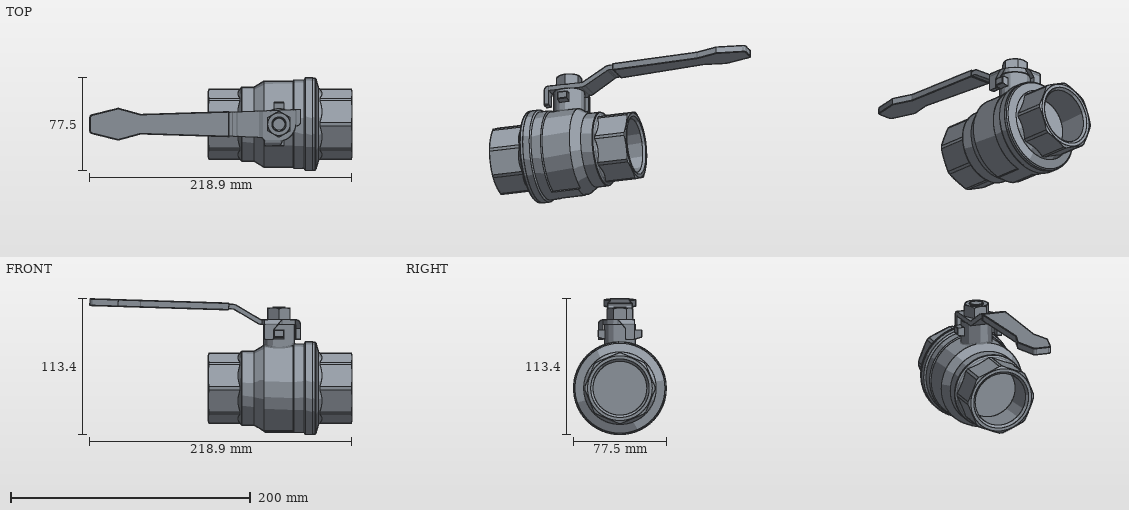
import cadquery as cq
import math


BODY_LEFT = -59.1
BODY_RIGHT = 61.1
COLLAR_DIA = 62.0
BARREL_DIA = 72.0
BAND_DIA = 74.0
RIM_DIA = 77.0
FLANGE_DIA = 77.5

COLLAR_ROOT = -32.4
COLLAR_START = -30.6
CONE_START = -20.6
BARREL_START = -12.5
BAND_START = 12.6
FLANGE_START = 22.0
RIM_START = 27.8
RIM_END = 30.0
SHOULDER_END = 33.1
STEP_CHAMFER = 1.0

COLLAR_EDGE_LENGTH = 0.7
COLLAR_EDGE_RISE = 0.3

OCTAGON_SIDES = 8
OCTAGON_FLATS = 55.0
OCTAGON_CORNER_DIA = 58.5
OCTAGON_END_CHAMFER = 0.8
OCTAGON_FACE_DIA = 54.0

PORT_DIA = 44.84
PORT_MOUTH_DIA = 48.8
PORT_DEPTH = 27.0

PAD_WIDTH = 16.0

NECK_DIA = 26.0
NECK_FILLET = 0.6
NECK_FOOT_LOW = 33.0
STOP_WIDTH = 8.4
STOP_REACH = 18.3
STOP_TOP = 48.6
STOP_TIP_BOTTOM = 42.5
STOP_ROOT_BOTTOM = 41.0
STOP_CHAMFER = 0.5
NUT_SIDES = 6
NUT_FLATS = 18.8
NUT_TOP = 67.0
NUT_TOP_CHAMFER_RISE = 0.9
STEM_DIA = 10.0
STEM_TOP = 67.6
COUNTERSINK_DIA = 12.0

PLATE_BOTTOM = 53.1
SHEET = 4.0
BEND_RADIUS = 3.9
PLATE_TOP = PLATE_BOTTOM + SHEET
HUB_RADIUS = 14.0
TAB_BOTTOM = 40.4
TAB_SLANT_END = 48.5
TAB_WIDE_EDGE = 2.5
TAB_NARROW_EDGE = -4.6
TAB_FAR_EDGE = -12.0
TAB_CORNER = 0.8
END_TAB_WIDE_EDGE = -1.5
END_TAB_NARROW_EDGE = 4.6
END_TAB_SLANT_END = 49.8
LEVER_HALF_WIDTH_HUB = 12.2
LEVER_HALF_WIDTH_GRIP = 9.9
HUB_LEFT = -14.2
LOWER_BEND = -15.6
UPPER_BEND = -37.3
LEVER_BEND_INNER_RADIUS = 3.0
LEVER_BEND_OUTER_RADIUS = LEVER_BEND_INNER_RADIUS + SHEET

GRIP_ROOT = -41.8
GRIP_TIP = -157.7
GRIP_TOP = 74.7
GRIP_THICKNESS = 5.9
GRIP_TILT = 1.8
GRIP_ROOT_HALF_WIDTH = 10.5
GRIP_WAIST_X = -115.5
GRIP_WAIST_HALF_WIDTH = 8.2
GRIP_BULGE_X = -134.0
GRIP_BULGE_HALF_WIDTH = 13.3
GRIP_TIP_HALF_WIDTH = 7.4
GRIP_CORNER_RADIUS = 2.5
GRIP_EDGE_CHAMFER = 0.5
GRIP_OVERLAP = 6.0


def revolve_about_x(points, closed_on_axis=True):
    """Solid of revolution about X from (x, radius) outline points, closed along the axis if asked."""
    outline = list(points)
    if closed_on_axis:
        outline = [(points[0][0], 0), *points, (points[-1][0], 0)]
    return cq.Workplane("XY").polyline(outline).close().revolve(360, (0, 0), (1, 0))


def octagon_bar():
    """Octagonal bar with blunted corners and coned ends, a corner pointing along Y and Z."""
    corner_circle = OCTAGON_FLATS / math.cos(math.pi / OCTAGON_SIDES)
    length = BODY_RIGHT - BODY_LEFT
    bar = cq.Workplane("YZ", origin=(BODY_LEFT, 0, 0)).polygon(OCTAGON_SIDES, corner_circle).extrude(length)
    envelope = revolve_about_x(
        [
            (BODY_LEFT, OCTAGON_FACE_DIA / 2),
            (BODY_LEFT + OCTAGON_END_CHAMFER, OCTAGON_CORNER_DIA / 2),
            (BODY_RIGHT - OCTAGON_END_CHAMFER, OCTAGON_CORNER_DIA / 2),
            (BODY_RIGHT, OCTAGON_FACE_DIA / 2),
        ]
    )
    return bar.intersect(envelope)


def barrel():
    """Turned middle of the body: collar, cone, band and flange, the barrel still at band size."""
    flat_radius = OCTAGON_FLATS / 2
    corner_radius = OCTAGON_CORNER_DIA / 2
    collar_radius = COLLAR_DIA / 2
    band_radius = BAND_DIA / 2
    rim_radius = RIM_DIA / 2
    cone_slope = (BARREL_DIA - COLLAR_DIA) / 2 / (BARREL_START - CONE_START)
    cone_end = CONE_START + (band_radius - collar_radius) / cone_slope
    octagon_step = corner_radius - flat_radius
    return revolve_about_x(
        [
            (COLLAR_ROOT - octagon_step, flat_radius),
            (COLLAR_ROOT, corner_radius),
            (COLLAR_START - COLLAR_EDGE_LENGTH, collar_radius - COLLAR_EDGE_RISE),
            (COLLAR_START, collar_radius),
            (CONE_START, collar_radius),
            (cone_end, band_radius),
            (FLANGE_START - STEP_CHAMFER, band_radius),
            (FLANGE_START, FLANGE_DIA / 2),
            (RIM_START, FLANGE_DIA / 2),
            (RIM_START, rim_radius),
            (RIM_END, rim_radius),
            (RIM_END + STEP_CHAMFER, rim_radius - STEP_CHAMFER),
            (SHOULDER_END, corner_radius + STEP_CHAMFER),
            (SHOULDER_END + STEP_CHAMFER, corner_radius),
            (SHOULDER_END + STEP_CHAMFER + octagon_step, flat_radius),
        ]
    )


def barrel_relief():
    """Ring turned off between cone and band, leaving a raised pad along the underside."""
    barrel_radius = BARREL_DIA / 2
    band_radius = BAND_DIA / 2
    ring = revolve_about_x(
        [
            (BARREL_START, FLANGE_DIA / 2),
            (BAND_START, FLANGE_DIA / 2),
            (BAND_START, band_radius),
            (BAND_START - STEP_CHAMFER, barrel_radius),
            (BARREL_START, barrel_radius),
        ],
        closed_on_axis=False,
    )
    strip = cq.Workplane("XY").rect(BODY_RIGHT, PAD_WIDTH).extrude(-FLANGE_DIA)
    return ring.cut(strip)


def port(mouth_x, inward):
    """Blind threaded port with a countersunk mouth; inward is +1 or -1 along X."""
    mouth_radius = PORT_MOUTH_DIA / 2
    bore_radius = PORT_DIA / 2
    return revolve_about_x(
        [
            (mouth_x, mouth_radius),
            (mouth_x + inward * (mouth_radius - bore_radius), bore_radius),
            (mouth_x + inward * PORT_DEPTH, bore_radius),
        ]
    )


def stop(side):
    """Stop lug on the neck; side is +1 or -1 along Y. Its underside slopes to the tip."""
    neck_radius = NECK_DIA / 2
    reach = side * STOP_REACH
    root = side * neck_radius
    outline = [
        (0, STOP_TOP),
        (reach, STOP_TOP),
        (reach, STOP_TIP_BOTTOM),
        (root, STOP_ROOT_BOTTOM),
        (0, STOP_ROOT_BOTTOM),
    ]
    lug = cq.Workplane("YZ", origin=(-STOP_WIDTH / 2, 0, 0)).polyline(outline).close().extrude(STOP_WIDTH)
    tip_face = ">Y" if side > 0 else "<Y"
    return lug.faces(tip_face).chamfer(STOP_CHAMFER)


def nut_and_stem():
    """Hexagon nut with a coned top and countersunk hole around the stem end."""
    corner_dia = NUT_FLATS / math.cos(math.pi / NUT_SIDES)
    nut = (
        cq.Workplane("XY", origin=(0, 0, PLATE_TOP))
        .transformed(rotate=(0, 0, 90))
        .polygon(NUT_SIDES, corner_dia)
        .extrude(NUT_TOP - PLATE_TOP)
    )
    flats_radius = NUT_FLATS / 2
    corner_radius = corner_dia / 2
    envelope_outline = [
        (0, PLATE_TOP),
        (corner_radius, PLATE_TOP),
        (corner_radius, NUT_TOP - NUT_TOP_CHAMFER_RISE),
        (flats_radius, NUT_TOP),
        (0, NUT_TOP),
    ]
    envelope = cq.Workplane("XZ").polyline(envelope_outline).close().revolve(360, (0, 0), (0, 1))
    countersink_depth = (COUNTERSINK_DIA - STEM_DIA) / 2
    countersink_floor = cq.Vector(0, 0, NUT_TOP - countersink_depth)
    cone = cq.Solid.makeCone(STEM_DIA / 2, COUNTERSINK_DIA / 2, countersink_depth, countersink_floor)
    countersink = cq.Workplane(cone)
    stem = cq.Workplane("XY").circle(STEM_DIA / 2).extrude(STEM_TOP)
    return nut.intersect(envelope).cut(countersink).union(stem)


def grip_mid_height(x):
    """Height of the grip's middle plane at x."""
    slope = math.tan(math.radians(GRIP_TILT))
    tip_height = GRIP_TOP - GRIP_THICKNESS / 2
    return tip_height - slope * (x - GRIP_TIP)


def lever_half_width(x):
    """Half width of the lever sheet at x, tapering from the end tab to the grip."""
    fraction = (x - GRIP_ROOT) / (HUB_RADIUS - GRIP_ROOT)
    return LEVER_HALF_WIDTH_GRIP + fraction * (LEVER_HALF_WIDTH_HUB - LEVER_HALF_WIDTH_GRIP)


def lever_strip():
    """Bent sheet from the hub up into the grip, cut to the tapered lever outline."""
    mid = PLATE_BOTTOM + SHEET / 2
    upper_mid = grip_mid_height(UPPER_BEND)
    rise_angle = math.atan2(upper_mid - mid, LOWER_BEND - UPPER_BEND)
    grip_angle = math.radians(GRIP_TILT)
    inner_end = GRIP_ROOT - GRIP_OVERLAP
    lower_miter = SHEET / 2 * math.tan(rise_angle / 2)
    upper_miter = SHEET / 2 * math.tan((rise_angle + grip_angle) / 2)
    half = SHEET / 2
    profile = [
        (0, mid + half),
        (LOWER_BEND + lower_miter, mid + half),
        (UPPER_BEND + upper_miter, upper_mid + half),
        (inner_end, grip_mid_height(inner_end) + half),
        (inner_end, grip_mid_height(inner_end) - half),
        (UPPER_BEND - upper_miter, upper_mid - half),
        (LOWER_BEND - lower_miter, mid - half),
        (0, mid - half),
    ]
    sheet = cq.Workplane("XZ").polyline(profile).close().extrude(LEVER_HALF_WIDTH_HUB, both=True)
    inner_corners = (profile[1], profile[5])
    outer_corners = (profile[2], profile[6])
    for x, z in inner_corners:
        sheet = sheet.edges(cq.NearestToPointSelector((x, 0, z))).fillet(LEVER_BEND_INNER_RADIUS)
    for x, z in outer_corners:
        sheet = sheet.edges(cq.NearestToPointSelector((x, 0, z))).fillet(LEVER_BEND_OUTER_RADIUS)
    outline = [
        (0, lever_half_width(0)),
        (inner_end, lever_half_width(inner_end)),
        (inner_end, -lever_half_width(inner_end)),
        (0, -lever_half_width(0)),
    ]
    blank = cq.Workplane("XY").polyline(outline).close().extrude(GRIP_TOP)
    return sheet.intersect(blank)


def hub_plate():
    """Flat plate under the nut, rounded between its two tabs."""
    arc_start_angle = math.asin(-END_TAB_WIDE_EDGE / HUB_RADIUS)
    arc_end_angle = math.acos(TAB_WIDE_EDGE / HUB_RADIUS)
    arc_mid_angle = (arc_start_angle + arc_end_angle) / 2
    arc_mid = (HUB_RADIUS * math.cos(arc_mid_angle), -HUB_RADIUS * math.sin(arc_mid_angle))
    return (
        cq.Workplane("XY", origin=(0, 0, PLATE_BOTTOM))
        .moveTo(HUB_LEFT, lever_half_width(HUB_LEFT))
        .lineTo(HUB_RADIUS, lever_half_width(HUB_RADIUS))
        .lineTo(HUB_RADIUS, END_TAB_WIDE_EDGE)
        .threePointArc(arc_mid, (TAB_WIDE_EDGE, -HUB_RADIUS))
        .lineTo(TAB_FAR_EDGE, -HUB_RADIUS)
        .lineTo(HUB_LEFT, -lever_half_width(HUB_LEFT))
        .close()
        .extrude(SHEET)
    )


def bent_tab(workplane, far_edge, narrow_edge, wide_edge, slant_end, bend_edge):
    """Tab bent down from the hub plate, drawn as its outline and extruded by the sheet thickness.

    Its slanted edge narrows it from wide_edge at the bend to narrow_edge below.
    """
    outline = [
        (far_edge, PLATE_TOP),
        (wide_edge, PLATE_TOP),
        (narrow_edge, slant_end),
        (narrow_edge, TAB_BOTTOM + TAB_CORNER),
        (narrow_edge + math.copysign(TAB_CORNER, far_edge - narrow_edge), TAB_BOTTOM),
        (far_edge - math.copysign(TAB_CORNER, far_edge - narrow_edge), TAB_BOTTOM),
        (far_edge, TAB_BOTTOM + TAB_CORNER),
    ]
    tab = workplane.polyline(outline).close().extrude(SHEET)
    return tab.faces(">Z").edges(bend_edge).fillet(BEND_RADIUS)


def side_tab():
    """Tab on the -Y edge of the hub plate."""
    plane = cq.Workplane("XZ", origin=(0, -HUB_RADIUS, 0))
    return bent_tab(plane, TAB_FAR_EDGE, TAB_NARROW_EDGE, TAB_WIDE_EDGE, TAB_SLANT_END, "<Y")


def end_tab():
    """Tab on the +X edge of the hub plate."""
    plane = cq.Workplane("YZ", origin=(HUB_RADIUS, 0, 0))
    far_edge = lever_half_width(HUB_RADIUS)
    return bent_tab(plane, far_edge, END_TAB_NARROW_EDGE, END_TAB_WIDE_EDGE, END_TAB_SLANT_END, ">X")


def grip():
    """Flat sleeve with a widened tip, tilted up away from the hub."""
    half_outline = [
        (GRIP_ROOT, GRIP_ROOT_HALF_WIDTH),
        (GRIP_WAIST_X, GRIP_WAIST_HALF_WIDTH),
        (GRIP_BULGE_X, GRIP_BULGE_HALF_WIDTH),
        (GRIP_TIP, GRIP_TIP_HALF_WIDTH),
    ]
    mirrored = [(x, -y) for x, y in reversed(half_outline)]
    tip_height = grip_mid_height(GRIP_TIP)
    sleeve = (
        cq.Workplane("XY", origin=(0, 0, tip_height - GRIP_THICKNESS / 2))
        .polyline(half_outline + mirrored)
        .close()
        .extrude(GRIP_THICKNESS)
        .edges("|Z and <X")
        .fillet(GRIP_CORNER_RADIUS)
        .faces("<Z or >Z")
        .chamfer(GRIP_EDGE_CHAMFER)
    )
    pivot = (GRIP_TIP, 0, tip_height)
    return sleeve.rotate(pivot, (GRIP_TIP, 1, tip_height), GRIP_TILT)


def valve_body():
    """Body with its pad, neck and ports."""
    neck = cq.Workplane("XY").circle(NECK_DIA / 2).extrude(PLATE_BOTTOM)
    body = octagon_bar().union(barrel().cut(barrel_relief())).union(neck)
    reach = NECK_DIA / 2 + NECK_FILLET
    neck_foot = cq.selectors.BoxSelector((-reach, -reach, NECK_FOOT_LOW), (reach, reach, FLANGE_DIA / 2))
    body = body.edges(neck_foot).fillet(NECK_FILLET)
    return body.cut(port(BODY_LEFT, 1)).cut(port(BODY_RIGHT, -1))


result = valve_body()
for attachment in (
    stop(1),
    stop(-1),
    hub_plate(),
    side_tab(),
    end_tab(),
    lever_strip(),
    grip(),
    nut_and_stem(),
):
    result = result.union(attachment)